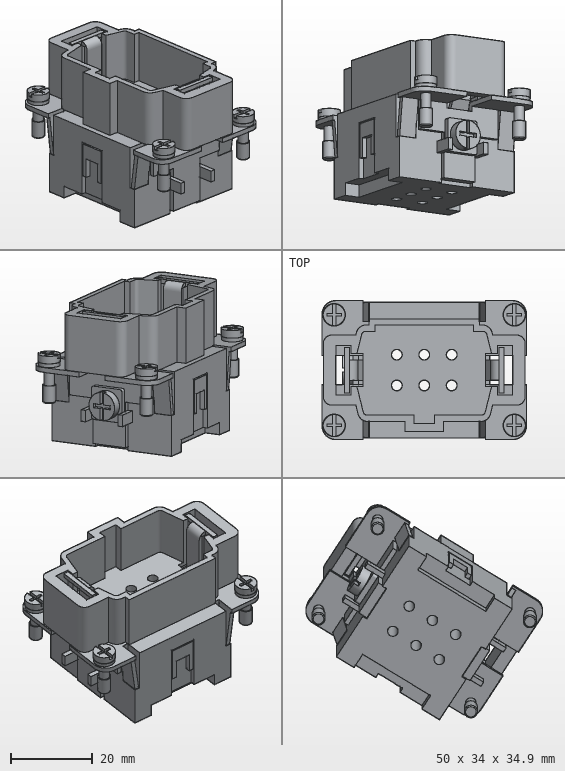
import cadquery as cq


top_z = 34.9
floor_z = 22.0
deck_z = 21.0
flange_thickness = 1.2
flange_z = deck_z - flange_thickness

body_half_x = 14.9
body_half_y = 16.6
channel_half_x = 9.8
channel_height = 3.1
channel_depth = 4.0
leg_slot_x = 13.4
leg_slot_y = 11.9
leg_slot_z = 10.25

pad_half_x = 16.05
pad_stem_half_y = 4.5
pad_head_half_y = 11.15
pad_stem_z = 1.0
pad_notch_depth = 1.15
pad_head_z = 12.45

window_half_x = 3.5
window_top_z = 17.0
window_depth = 1.2
window_gap = 0.35
catch_top_z = window_top_z - window_gap
catch_bottom_z = 8.05
catch_half_x = window_half_x - window_gap
catch_leg_width = 1.15
catch_bridge_height = 3.7

hood_half_x = 24.65
hood_end_half_y = 8.55
hood_end_radius = 2.1
hood_neck_x = 16.7
hood_slant = 0.25
hood_corner_radius = 2.4
hood_shoulder_y = 11.0
hood_back_y = 12.5
hood_back_half_x = 13.45
hood_front_y = -12.55
key_half_x = 4.7
key_front_y = -15.05

cavity_end_x = 17.45
cavity_back_y = 11.0
cavity_back_half_x = 12.0
cavity_shoulder_y = 9.45
cavity_front_y = -11.0
cavity_corner_radius = 1.0
keyway_half_x = 2.5
keyway_front_y = -13.0

pin_pitch_x = 6.7
pin_pitch_y = 7.5
pin_diameter = 2.55

flange_half_x = 25.0
flange_half_y = 17.0
flange_radius = 3.45
flange_gap_half_y = 3.55
leg_outer_y = 16.45
leg_foot_x = 13.6
leg_shift = 1.15

screw_x = 22.0
screw_y = 13.5
head_radius = 2.75
head_top_z = 23.85
washer_radius = 2.65
washer_top_z = 21.95
shank_radius = 1.3
shank_end_z = 16.05
thread_radius = 1.6
thread_end_z = 11.6
thread_chamfer = 0.3
slot_width = 0.85
slot_depth = 0.85
cross_length = 3.5
cross_width = 0.65

clamp_half_width = 4.2
clamp_center_z = 11.65
clamp_outer_x = 17.45
clamp_radius = 0.6
earth_radius = 3.55
earth_outer_x = 20.0
earth_slot_width = 0.9
earth_slot_depth = 1.25
earth_cross_length = 4.7
earth_cross_width = 1.0

rib_outer_x = 20.0
rib_outer_y = 5.75
rib_bottom_z = 7.3
rib_top_z = 10.2

pocket_inner_x = 17.9
pocket_outer_x = 21.55
pocket_half_y = 6.05
clip_slot_half_y = 4.05
clip_seat_z = 18.55
clip_half_y = 2.5
clip_inner_x = 16.2
clip_thickness = 0.9
clip_top_z = 34.8
clip_bend_z = 20.95
bar_inner_x = 18.2
bar_outer_x = 19.5
bar_half_y = 5.55
bar_height = 1.1


def block(x0, x1, y0, y1, z0, z1):
    """Axis-aligned box between two corners."""
    return cq.Workplane("XY").box(x1 - x0, y1 - y0, z1 - z0, centered=False).translate((x0, y0, z0))


def mid_block(half_x, half_y, z0, z1):
    """Box centred on the Z axis."""
    return block(-half_x, half_x, -half_y, half_y, z0, z1)


def both_ends(shape):
    """The shape together with its mirror image at the opposite X end."""
    return shape.union(shape.mirror("YZ"))


def four_corners(shape):
    """The shape repeated by mirroring about both vertical centre planes."""
    pair = both_ends(shape)
    return pair.union(pair.mirror("XZ"))


def prism(half_outline, z0, z1):
    """Prism whose outline is given for +X and mirrored to -X."""
    mirrored = [(-x, y) for x, y in reversed(half_outline)]
    return cq.Workplane("XY", origin=(0, 0, z0)).polyline(half_outline + mirrored).close().extrude(z1 - z0)


def round_upright(shape, x, y, radius):
    """Round the vertical edges at (x, y) and (-x, y)."""
    reach = 0.025
    for side in (-x, x):
        picker = cq.selectors.BoxSelector((side - reach, y - reach, -0.5), (side + reach, y + reach, 2 * top_z))
        shape = shape.edges(picker).fillet(radius)
    return shape


def slant_x(y):
    """Outer X of the slanted hood wall at a given Y."""
    return hood_neck_x - hood_slant * (abs(y) - hood_end_half_y)


def cavity_x(y):
    """Inner X of the slanted cavity wall at a given Y."""
    return cavity_end_x - hood_slant * abs(y)


def lower_body():
    body = mid_block(body_half_x, body_half_y, 0, deck_z)
    channel_inner_y = body_half_y - channel_depth
    channel = block(-channel_half_x, channel_half_x, -body_half_y, -channel_inner_y, 0, channel_height)
    body = body.cut(channel).cut(channel.mirror("XZ"))
    notch_inner_x = body_half_x - pad_notch_depth
    notch = block(notch_inner_x, body_half_x, -pad_stem_half_y, pad_stem_half_y, 0, pad_stem_z)
    body = body.cut(both_ends(notch))
    head = block(body_half_x, pad_half_x, -pad_head_half_y, pad_head_half_y, pad_head_z, flange_z)
    stem = block(body_half_x, pad_half_x, -pad_stem_half_y, pad_stem_half_y, pad_stem_z, pad_head_z)
    body = body.union(both_ends(head.union(stem)))
    leg_slot = block(leg_slot_x, body_half_x, leg_slot_y, body_half_y, leg_slot_z, deck_z)
    return body.cut(four_corners(leg_slot)).cut(snap_windows())


def snap_windows():
    """Recess around a U-shaped catch, in both long sides."""
    inner_y = body_half_y - window_depth
    window = block(-window_half_x, window_half_x, -body_half_y, -inner_y, channel_height, window_top_z)
    catch = block(-catch_half_x, catch_half_x, -body_half_y, -inner_y, catch_bottom_z, catch_top_z)
    opening_half_x = catch_half_x - catch_leg_width
    opening_top_z = catch_top_z - catch_bridge_height
    opening = block(-opening_half_x, opening_half_x, -body_half_y, -inner_y, catch_bottom_z, opening_top_z)
    recess = window.cut(catch.cut(opening))
    return recess.union(recess.mirror("XZ"))


def hood():
    outline = [
        (key_half_x, key_front_y),
        (key_half_x, hood_front_y),
        (slant_x(hood_front_y), hood_front_y),
        (hood_neck_x, -hood_end_half_y),
        (hood_half_x, -hood_end_half_y),
        (hood_half_x, hood_end_half_y),
        (hood_neck_x, hood_end_half_y),
        (slant_x(hood_shoulder_y), hood_shoulder_y),
        (hood_back_half_x, hood_shoulder_y),
        (hood_back_half_x, hood_back_y),
    ]
    shell = prism(outline, deck_z, top_z)
    for y in (-hood_end_half_y, hood_end_half_y):
        shell = round_upright(shell, hood_half_x, y, hood_end_radius)
    for y in (hood_front_y, hood_shoulder_y):
        shell = round_upright(shell, slant_x(y), y, hood_corner_radius)
    return shell.cut(cavity())


def cavity():
    outline = [
        (keyway_half_x, keyway_front_y),
        (keyway_half_x, cavity_front_y),
        (cavity_x(cavity_front_y), cavity_front_y),
        (cavity_x(clip_slot_half_y), -clip_slot_half_y),
        (cavity_x(clip_slot_half_y), clip_slot_half_y),
        (cavity_x(cavity_shoulder_y), cavity_shoulder_y),
        (cavity_back_half_x, cavity_shoulder_y),
        (cavity_back_half_x, cavity_back_y),
    ]
    space = prism(outline, floor_z, top_z)
    for y in (cavity_front_y, cavity_shoulder_y):
        space = round_upright(space, cavity_x(y), y, cavity_corner_radius)
    return space


def clip_openings():
    """Pocket, cavity opening and seat for the spring clip at each end."""
    pocket = block(pocket_inner_x, pocket_outer_x, -pocket_half_y, pocket_half_y, deck_z, top_z)
    opening = block(body_half_x, pocket_inner_x, -clip_slot_half_y, clip_slot_half_y, deck_z, top_z)
    seat = block(body_half_x, pad_half_x, -flange_gap_half_y, flange_gap_half_y, clip_seat_z, deck_z)
    return both_ends(pocket.union(opening).union(seat))


def pin_holes():
    holes = cq.Workplane("XY").rarray(pin_pitch_x, pin_pitch_y, 3, 2)
    return holes.circle(pin_diameter / 2).extrude(top_z)


def mounting_flange():
    """Four corner plates, each with a slanted leg bent down into the body."""
    plate = block(body_half_x, flange_half_x, flange_gap_half_y, flange_half_y, flange_z, deck_z)
    plate = plate.edges("|Z and >X and >Y").fillet(flange_radius)
    leg = (
        cq.Workplane("XZ", origin=(0, leg_outer_y, 0))
        .moveTo(body_half_x + leg_shift, flange_z)
        .lineTo(leg_foot_x + leg_shift, leg_slot_z)
        .lineTo(leg_foot_x, leg_slot_z)
        .lineTo(body_half_x, flange_z)
        .close()
        .extrude(leg_outer_y - leg_slot_y)
    )
    return four_corners(plate.union(leg))


def corner_screws():
    def cylinder(radius, z0, z1):
        return cq.Workplane("XY", origin=(0, 0, z0)).circle(radius).extrude(z1 - z0)

    thread = cylinder(thread_radius, thread_end_z, shank_end_z).faces("<Z").chamfer(thread_chamfer)
    shank = cylinder(shank_radius, shank_end_z, deck_z)
    washer = cylinder(washer_radius, deck_z, washer_top_z)
    head = cylinder(head_radius, washer_top_z, head_top_z)
    slot = mid_block(slot_width / 2, head_radius, head_top_z - slot_depth, head_top_z)
    cross = mid_block(cross_length / 2, cross_width / 2, head_top_z - slot_depth, head_top_z)
    screw = thread.union(shank).union(washer).union(head).cut(slot).cut(cross)
    return four_corners(screw.translate((screw_x, screw_y, 0)))


def earth_terminal():
    """Clamp plate and slotted screw on the -X end."""
    clamp = block(
        -clamp_outer_x, -pad_half_x, -clamp_half_width, clamp_half_width,
        clamp_center_z - clamp_half_width, clamp_center_z + clamp_half_width,
    ).edges("|X").fillet(clamp_radius)
    head = (
        cq.Workplane("YZ", origin=(-earth_outer_x, 0, clamp_center_z))
        .circle(earth_radius)
        .extrude(earth_outer_x - clamp_outer_x)
    )

    def groove(width_y, width_z):
        return block(
            -earth_outer_x, -earth_outer_x + earth_slot_depth, -width_y / 2, width_y / 2,
            clamp_center_z - width_z / 2, clamp_center_z + width_z / 2,
        )

    head = head.cut(groove(earth_slot_width, 2 * earth_radius))
    head = head.cut(groove(earth_cross_length, earth_cross_width))
    return clamp.union(head)


def guard_ribs():
    return four_corners(block(body_half_x, rib_outer_x, pad_stem_half_y, rib_outer_y, rib_bottom_z, rib_top_z))


def spring_clips():
    """Upright tongue rooted on the end pad, arched over at the top into a cross bar."""
    clip_outer_x = clip_inner_x + clip_thickness
    bend_radius = bar_inner_x - clip_inner_x
    shoulder_z = clip_top_z - bend_radius
    arch_fall = bend_radius * (1 - 0.5 ** 0.5)
    tongue = (
        cq.Workplane("XZ", origin=(0, clip_half_y, 0))
        .moveTo(body_half_x, clip_seat_z)
        .lineTo(pad_half_x, clip_seat_z)
        .lineTo(clip_outer_x, clip_bend_z)
        .lineTo(clip_outer_x, clip_top_z - bar_height)
        .lineTo(bar_inner_x, clip_top_z - bar_height)
        .lineTo(bar_inner_x, clip_top_z)
        .threePointArc((clip_inner_x + arch_fall, clip_top_z - arch_fall), (clip_inner_x, shoulder_z))
        .lineTo(clip_inner_x, clip_bend_z)
        .close()
        .extrude(2 * clip_half_y)
    )
    bar = block(bar_inner_x, bar_outer_x, -bar_half_y, bar_half_y, top_z - bar_height, top_z)
    return both_ends(tongue.union(bar))


result = lower_body().union(hood()).cut(clip_openings())
result = result.cut(pin_holes())
for piece in (mounting_flange(), corner_screws(), earth_terminal(), guard_ribs(), spring_clips()):
    result = result.union(piece)